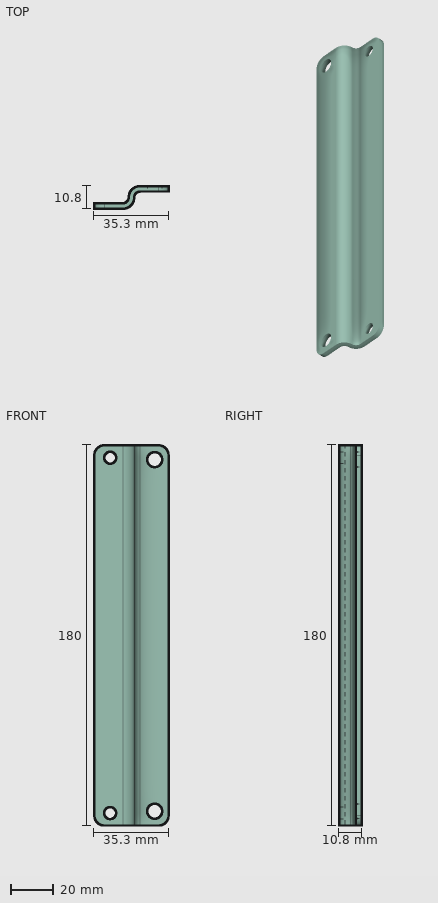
import cadquery as cq

width = 35.3
depth = 10.8
length = 180.0

thickness = 2.7
outer_bend_radius = depth / 2
inner_bend_radius = outer_bend_radius - thickness
step_run = outer_bend_radius + inner_bend_radius
flange_width = (width - step_run) / 2

corner_radius = 4.9

front_hole_diameter = 5.5
front_hole_from_side = 7.5
front_hole_from_end = 6.0
back_hole_diameter = 7.0
back_hole_from_side = 6.7
back_hole_from_end = 6.8


def bent_sheet():
    """Z-shaped sheet section in XY, extruded along Z."""
    back_bend_x = width - flange_width
    web_left = back_bend_x - outer_bend_radius
    web_right = flange_width + outer_bend_radius
    mid_depth = depth / 2
    return (
        cq.Workplane("XY")
        .moveTo(0, 0)
        .lineTo(flange_width, 0)
        .radiusArc((web_right, mid_depth), -outer_bend_radius)
        .radiusArc((back_bend_x, depth - thickness), inner_bend_radius)
        .lineTo(width, depth - thickness)
        .lineTo(width, depth)
        .lineTo(back_bend_x, depth)
        .radiusArc((web_left, mid_depth), -outer_bend_radius)
        .radiusArc((flange_width, thickness), inner_bend_radius)
        .lineTo(0, thickness)
        .close()
        .extrude(length)
    )


def end_holes(x, from_end, diameter):
    """Pair of cutters along Y, one near each end of the sheet."""
    return (
        cq.Workplane("XZ")
        .pushPoints([(x, from_end), (x, length - from_end)])
        .circle(diameter / 2)
        .extrude(-depth)
    )


def rounded_outline():
    """Block with the rounded front outline of the plate."""
    return cq.Workplane("XY").box(width, depth, length, centered=False).edges("|Y").fillet(corner_radius)


result = (
    bent_sheet()
    .intersect(rounded_outline())
    .cut(end_holes(front_hole_from_side, front_hole_from_end, front_hole_diameter))
    .cut(end_holes(width - back_hole_from_side, back_hole_from_end, back_hole_diameter))
)